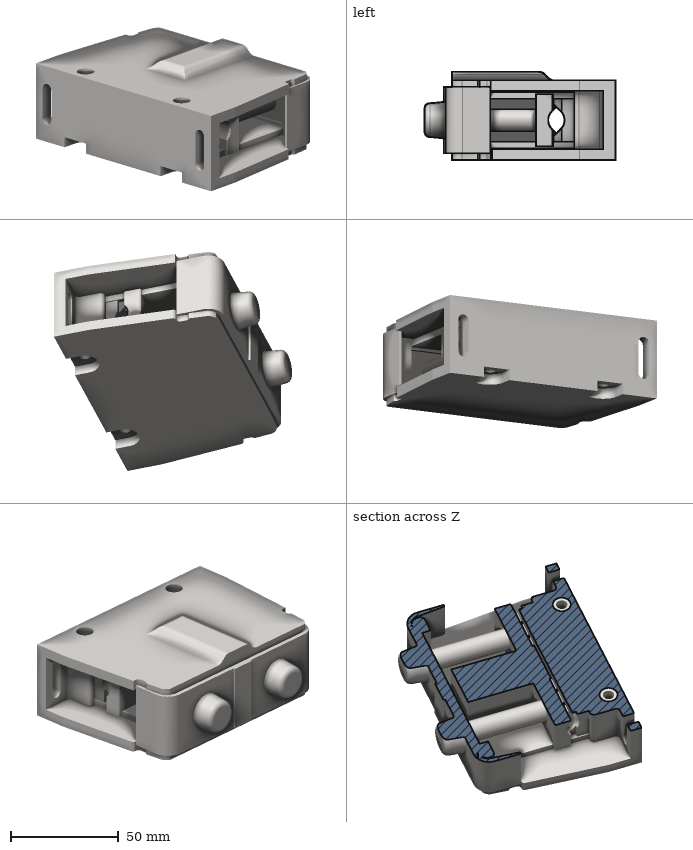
import cadquery as cq
import math

WIDTH = 110.0
HEIGHT = 37.1
MID_Z = HEIGHT / 2
PLATE = 5.0
FRONT_WALL = 5.7
TAPER_START_Y = 16.8
SHOULDER_Y = 58.1
SHOULDER_HALF = 51.4
PLATE_BACK_Y = 76.0
CORNER_HALF = 48.3
CORNER_START_Y = 71.4
CORNER_END_HALF = 45.4
CORNER_RADIUS = 4.8
FLOOR_SHOULDER_BEVEL = 0.8
NOTCH_END_Y = 64.1
NOTCH_HALF = 48.0
NOTCH_MOUTH_HALF = 49.5
NOTCH_ROUND = 1.8
NOTCH_SLOPE = 1.1

PICK_MARGIN = 0.1

COVER_HALF = 49.8
COVER_BACK_Y = 79.0
COVER_FRONT_Y = 58.2
COVER_Z = 3.1
COVER_HEIGHT = HEIGHT - 2 * COVER_Z
COVER_WALL = 2.1
COVER_RADIUS = 7.7
COVER_LIP = 1.3
COVER_SIDE_WALL = 2.6
TAB_WIDTH = 11.2
TAB_PROUD = 0.9

RIDGE_BASE_HALF = 12.9
RIDGE_RISE = 4.0
RIDGE_FRONT_Y = 28.6
RIDGE_ARC_RADIUS = 3.7
RIDGE_ROOT = 1.1
RIDGE_FLANK_ANGLE = math.radians(45)

SLOT_X = 48.0
SLOT_WIDTH = 5.4
SLOT_LENGTH = 20.0

MOUNT_X = 30.1
MOUNT_Y = 7.0
MOUNT_DIAMETER = 5.3
MOUNT_BORE_DIAMETER = 8.1
MOUNT_BORE_DEPTH = 13.2
FOOT_NOTCH_WIDTH = 13.4

PILLAR_HALF = 39.6
PILLAR_BACK_Y = 19.2
PILLAR_ROUND = 2.1
PILLAR_FILLET = 1.9

CAGE_INNER_X = 11.0
CAGE_OUTER_X = 36.8
CAGE_BACK_Y = 69.6
CAGE_HEIGHT = 26.0
CAGE_OPENING = 19.9
DIVIDER_STEP_Y = 36.2

BACK_BLOCK_HALF = 46.8
BACK_BLOCK_FRONT_RADIUS = 2.4
BACK_BLOCK_REAR_RADIUS = 4.6
RECESS_HEIGHT = 20.4
RECESS_STEP = 2.1
RECESS_RISE = 1.2

JAW_BACK_Y = 28.6
JAW_STEP_Y = 25.1
JAW_INSET = 0.5
JAW_STEP_DEPTH = 1.6
JAW_GROOVE_DEPTH = 1.6

PRESSURE_FRONT_Y = 28.9
PRESSURE_BACK_Y = 37.2
PRESSURE_HEIGHT = 24.2
PRESSURE_FLANGE = 1.6
PRESSURE_OUTER_X = 39.0
PRESSURE_BEVEL = 0.4

CABLE_Y = 27.5
CABLE_HALF_WIDTH = 3.7
CABLE_HALF_HEIGHT = 6.2
CABLE_FLAT_RUN = 2.2

SCREW_X = 23.9
SHANK_RADIUS = 5.1
COLLAR_RADIUS = 8.9
COLLAR_HEIGHT = 0.8
HEAD_BASE_RADIUS = 8.6
HEAD_SHOULDER_RADIUS = 7.9
HEAD_TOP_Y = 88.8
HEAD_ROUND = 2.5


def box(x0, x1, y0, y1, z0, z1):
    """Axis-aligned box between two opposite corners."""
    return cq.Workplane("XY").box(x1 - x0, y1 - y0, z1 - z0, centered=False).translate((x0, y0, z0))


def centred_box(x0, x1, y0, y1, height):
    """Box centred on the mid-height of the housing."""
    return box(x0, x1, y0, y1, MID_Z - height / 2, MID_Z + height / 2)


def both_sides(shape):
    """Shape plus its mirror image across the centre plane."""
    return shape.union(shape.mirror("YZ"))


def upright_edges_at(x, y):
    """Selector for the vertical edges at one place in plan."""
    return cq.selectors.BoxSelector(
        (x - PICK_MARGIN, y - PICK_MARGIN, 0), (x + PICK_MARGIN, y + PICK_MARGIN, HEIGHT)
    )


def plate(bottom_z):
    """Floor or roof plate: tapered sides, cover recess, rounded back corners."""
    half = (
        cq.Workplane("XY", origin=(0, 0, bottom_z))
        .lineTo(WIDTH / 2, 0)
        .lineTo(WIDTH / 2, TAPER_START_Y)
        .lineTo(SHOULDER_HALF, SHOULDER_Y)
        .lineTo(NOTCH_MOUTH_HALF, SHOULDER_Y)
        .radiusArc((NOTCH_HALF, SHOULDER_Y + NOTCH_ROUND), NOTCH_ROUND)
        .lineTo(NOTCH_HALF, NOTCH_END_Y - NOTCH_SLOPE)
        .lineTo(NOTCH_HALF + NOTCH_SLOPE, NOTCH_END_Y)
        .lineTo(CORNER_HALF, CORNER_START_Y)
        .radiusArc((CORNER_END_HALF, PLATE_BACK_Y), -CORNER_RADIUS)
        .lineTo(0, PLATE_BACK_Y)
        .close()
        .extrude(PLATE)
    )
    return both_sides(half)


def floor_plate():
    """Lower plate, with its two shoulder corners bevelled."""
    shoulders = upright_edges_at(-SHOULDER_HALF, SHOULDER_Y) + upright_edges_at(SHOULDER_HALF, SHOULDER_Y)
    return plate(0).edges(shoulders).chamfer(FLOOR_SHOULDER_BEVEL)


def cover():
    """U-shaped shell round the back, with a shallow tab in the middle."""
    outer = centred_box(-COVER_HALF, COVER_HALF, COVER_FRONT_Y, COVER_BACK_Y, COVER_HEIGHT)
    outer = outer.edges("|Z and >Y").fillet(COVER_RADIUS)
    inner_back = COVER_BACK_Y - COVER_WALL
    inner_radius = COVER_RADIUS - COVER_SIDE_WALL
    inner_half = COVER_HALF - COVER_SIDE_WALL
    corner_offset = inner_radius * math.sin(math.radians(45))
    inner = (
        cq.Workplane("XY", origin=(0, 0, COVER_Z))
        .moveTo(0, COVER_FRONT_Y)
        .lineTo(COVER_HALF - COVER_LIP, COVER_FRONT_Y)
        .lineTo(inner_half, inner_back - inner_radius)
        .threePointArc(
            (inner_half - inner_radius + corner_offset, inner_back - inner_radius + corner_offset),
            (inner_half - inner_radius, inner_back),
        )
        .lineTo(0, inner_back)
        .close()
        .extrude(COVER_HEIGHT)
    )
    shell = outer.cut(both_sides(inner))
    tab = centred_box(
        -TAB_WIDTH / 2, TAB_WIDTH / 2,
        COVER_BACK_Y - COVER_WALL, COVER_BACK_Y + TAB_PROUD, COVER_HEIGHT
    )
    return shell.union(tab)


def ridge_flank(sketch, toe, direction):
    """Trace the S-shaped flank upward from its toe; direction is the way inward."""
    sin_a = math.sin(RIDGE_FLANK_ANGLE)
    cos_a = math.cos(RIDGE_FLANK_ANGLE)
    sin_h = math.sin(RIDGE_FLANK_ANGLE / 2)
    cos_h = math.cos(RIDGE_FLANK_ANGLE / 2)
    radius = RIDGE_ARC_RADIUS
    arc_rise = radius * (1 - cos_a)
    line_rise = RIDGE_RISE - 2 * arc_rise
    run = 2 * radius * sin_a + line_rise / math.tan(RIDGE_FLANK_ANGLE)
    top_z = HEIGHT + RIDGE_RISE

    def inward(distance):
        return toe + direction * distance

    return (
        sketch.lineTo(toe, HEIGHT)
        .threePointArc(
            (inward(radius * sin_h), HEIGHT + radius * (1 - cos_h)),
            (inward(radius * sin_a), HEIGHT + arc_rise),
        )
        .lineTo(inward(run - radius * sin_a), top_z - arc_rise)
        .threePointArc(
            (inward(run - radius * sin_h), top_z - radius * (1 - cos_h)),
            (inward(run), top_z),
        )
    )


def ridge():
    """Raised rib whose two flanks and front end share one profile, with mitred corners."""
    root_z = HEIGHT - RIDGE_ROOT
    half = cq.Workplane("XZ").moveTo(0, root_z).lineTo(RIDGE_BASE_HALF, root_z)
    half = ridge_flank(half, RIDGE_BASE_HALF, -1)
    half = half.lineTo(0, HEIGHT + RIDGE_RISE).close().extrude(-PLATE_BACK_Y)
    lengthwise = ridge_flank(cq.Workplane("YZ").moveTo(RIDGE_FRONT_Y, root_z), RIDGE_FRONT_Y, 1)
    lengthwise = (
        lengthwise.lineTo(PLATE_BACK_Y, HEIGHT + RIDGE_RISE)
        .lineTo(PLATE_BACK_Y, root_z)
        .close()
        .extrude(RIDGE_BASE_HALF, both=True)
    )
    return both_sides(half).intersect(lengthwise)


def pillar():
    """Solid block behind the front wall that carries the mounting holes."""
    block = box(-PILLAR_HALF, PILLAR_HALF, FRONT_WALL, PILLAR_BACK_Y, PLATE, HEIGHT - PLATE)
    block = block.edges("|Z and >Y").fillet(PILLAR_ROUND)
    wall = box(-WIDTH / 2, WIDTH / 2, 0, FRONT_WALL, PLATE, HEIGHT - PLATE)
    corners = upright_edges_at(-PILLAR_HALF, FRONT_WALL) + upright_edges_at(PILLAR_HALF, FRONT_WALL)
    return wall.union(block).edges(corners).fillet(PILLAR_FILLET)


def divider():
    """Centre wall between the cages."""
    cage_top = MID_Z + CAGE_HEIGHT / 2
    low = box(-CAGE_INNER_X, CAGE_INNER_X, PILLAR_BACK_Y, CAGE_BACK_Y, PLATE, cage_top)
    high = box(-CAGE_INNER_X, CAGE_INNER_X, DIVIDER_STEP_Y, CAGE_BACK_Y, PLATE, HEIGHT - PLATE)
    return low.union(high)


def back_block():
    """Block filling the cover behind the cages, stepped in where it faces them."""
    block = box(
        -BACK_BLOCK_HALF, BACK_BLOCK_HALF,
        CAGE_BACK_Y, COVER_BACK_Y - COVER_WALL, PLATE, HEIGHT - PLATE
    )
    block = block.edges("|Z and >Y").fillet(BACK_BLOCK_REAR_RADIUS)
    block = block.edges("|Z and <Y").fillet(BACK_BLOCK_FRONT_RADIUS)
    first_back = CAGE_BACK_Y + RECESS_STEP
    second_back = first_back + RECESS_STEP
    first = centred_box(-CAGE_OUTER_X, CAGE_OUTER_X, CAGE_BACK_Y, first_back, RECESS_HEIGHT)
    second = centred_box(
        -CAGE_OUTER_X, CAGE_OUTER_X, first_back, second_back, RECESS_HEIGHT - 2 * RECESS_RISE
    )
    return block.cut(first).cut(second)


def clamp():
    """Cage open sideways, with a stepped fixed jaw and a sliding pressure plate."""
    cage = centred_box(CAGE_INNER_X, CAGE_OUTER_X, PILLAR_BACK_Y, CAGE_BACK_Y, CAGE_HEIGHT)
    cage = cage.cut(centred_box(CAGE_INNER_X, CAGE_OUTER_X, PILLAR_BACK_Y, CAGE_BACK_Y, CAGE_OPENING))
    jaw_x = CAGE_OUTER_X - JAW_INSET
    lip_x = jaw_x - JAW_STEP_DEPTH
    jaw = centred_box(CAGE_INNER_X, jaw_x, PILLAR_BACK_Y, JAW_STEP_Y, CAGE_OPENING)
    jaw_lip = centred_box(CAGE_INNER_X, lip_x, JAW_STEP_Y, JAW_BACK_Y, CAGE_OPENING)
    groove_root = CABLE_Y - CABLE_HALF_HEIGHT
    groove_half = JAW_BACK_Y - groove_root
    jaw_groove = (
        cq.Workplane("YZ", origin=(lip_x - JAW_GROOVE_DEPTH, 0, MID_Z))
        .moveTo(groove_root, 0)
        .lineTo(JAW_BACK_Y, groove_half)
        .lineTo(JAW_BACK_Y, -groove_half)
        .close()
        .extrude(JAW_GROOVE_DEPTH)
    )
    jaw_lip = jaw_lip.cut(jaw_groove)
    pressure = centred_box(
        CAGE_INNER_X, PRESSURE_OUTER_X - PRESSURE_FLANGE,
        PRESSURE_FRONT_Y, PRESSURE_BACK_Y, CAGE_OPENING
    )
    flange = centred_box(
        PRESSURE_OUTER_X - PRESSURE_FLANGE, PRESSURE_OUTER_X,
        PRESSURE_FRONT_Y, PRESSURE_BACK_Y, PRESSURE_HEIGHT
    )
    flange = flange.edges("|Z and >X").chamfer(PRESSURE_BEVEL)
    return both_sides(cage.union(jaw).union(jaw_lip).union(pressure).union(flange))


def screws():
    """Clamp screws along Y with tapered, rounded heads behind the cover."""
    shoulder_y = HEAD_TOP_Y - HEAD_ROUND
    profile = (
        cq.Workplane("XY")
        .moveTo(0, PRESSURE_BACK_Y)
        .lineTo(SHANK_RADIUS, PRESSURE_BACK_Y)
        .lineTo(SHANK_RADIUS, COVER_BACK_Y)
        .lineTo(COLLAR_RADIUS, COVER_BACK_Y)
        .lineTo(HEAD_BASE_RADIUS, COVER_BACK_Y + COLLAR_HEIGHT)
        .lineTo(HEAD_SHOULDER_RADIUS, shoulder_y)
        .radiusArc((HEAD_SHOULDER_RADIUS - HEAD_ROUND, HEAD_TOP_Y), -HEAD_ROUND)
        .lineTo(0, HEAD_TOP_Y)
        .close()
    )
    screw = profile.revolve(360, (0, 0, 0), (0, 1, 0))
    return both_sides(screw.translate((SCREW_X, 0, MID_Z)))


def cable_passage():
    """Cable opening along X: 45 degree flats above and below, rounded sides."""
    flat_z = CABLE_HALF_HEIGHT - CABLE_FLAT_RUN
    return (
        cq.Workplane("YZ", origin=(0, CABLE_Y, MID_Z))
        .moveTo(0, CABLE_HALF_HEIGHT)
        .lineTo(CABLE_FLAT_RUN, flat_z)
        .threePointArc((CABLE_HALF_WIDTH, 0), (CABLE_FLAT_RUN, -flat_z))
        .lineTo(0, -CABLE_HALF_HEIGHT)
        .lineTo(-CABLE_FLAT_RUN, -flat_z)
        .threePointArc((-CABLE_HALF_WIDTH, 0), (-CABLE_FLAT_RUN, flat_z))
        .close()
        .extrude(WIDTH, both=True)
    )


def front_slots():
    """Upright rounded slots through the front wall."""
    slot = (
        cq.Workplane("XZ", origin=(SLOT_X, 0, MID_Z))
        .slot2D(SLOT_LENGTH, SLOT_WIDTH, 90)
        .extrude(-FRONT_WALL)
    )
    return both_sides(slot)


def mounting_holes():
    """Counterbored vertical holes, each ending in a round-backed notch under the floor."""
    hole = cq.Workplane("XY").circle(MOUNT_DIAMETER / 2).extrude(HEIGHT)
    bore = cq.Workplane("XY", origin=(0, 0, HEIGHT)).circle(MOUNT_BORE_DIAMETER / 2)
    bore = bore.extrude(-MOUNT_BORE_DEPTH)
    notch_end = cq.Workplane("XY").circle(FOOT_NOTCH_WIDTH / 2).extrude(PLATE)
    notch = box(-FOOT_NOTCH_WIDTH / 2, FOOT_NOTCH_WIDTH / 2, -MOUNT_Y, 0, 0, PLATE)
    cutter = hole.union(bore).union(notch_end).union(notch)
    return both_sides(cutter.translate((MOUNT_X, MOUNT_Y, 0)))


result = floor_plate().union(plate(HEIGHT - PLATE)).union(pillar()).union(divider()).union(back_block())
result = result.union(cover()).union(clamp()).cut(cable_passage()).union(screws())
result = result.cut(front_slots()).cut(mounting_holes()).union(ridge())